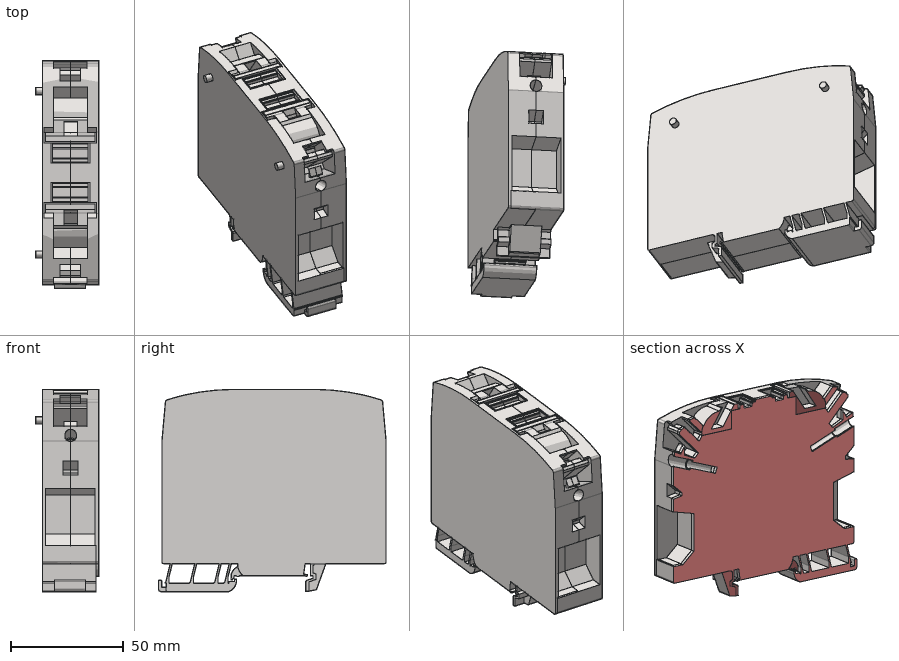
import cadquery as cq
import math


total_height = 89.65
width = 25.0
seam_x = width / 2
half_length = 49.7
body_bottom = 12.4
above_top = total_height + 1

flat_top_half = 18.0
shoulder_half = 48.1
shoulder_z = 84.8
taper_start_z = 66.7
shoulder_radius = 1.2
bottom_radius = 0.9

base_width = 23.75
base_top = 20.4
end_plate_thickness = 1.0

block_bottom = 7.05
block_lip_y = 14.8
block_front_y = -13.65
block_front_top_y = -16.14

clip_contact = [
    (15.4, 0.2),
    (15.4, 4.3),
    (18.6, 5.5),
    (18.6, 7.8),
    (17.3, 8.35),
    (17.2, 11.4),
    (18.1, body_bottom),
]

clip_x = (5.0, 18.75)

peg_diameter = 3.3
peg_length = 3.0
peg_y = 36.2
peg_z = 75.9

lever_x = (4.85, 20.05)
bar_x = (1.3, 23.3)
bar_pocket_x = (0.7, 23.85)
bar_pocket_y = -13.2
bar_y = -13.9
bar_step_y = -16.25
plate_y = -17.75
bar_ramp_y = -20.0
plate_end_y = -23.35
drum_y = -24.6
drum_mouth_y = -37.9
bar_bottom = 87.0
bar_ledge_z = 89.4
plate_end_z = 89.2
drum_top = 88.0
drum_radius = 9.5
lever_bottom = drum_top - drum_radius
tool_hole_x = (9.6, 15.5)
tool_hole_y = (-16.4, -22.5)
tool_hole_lean = 6.1
tool_hole_depth = 9.0

slot_x = (3.9, 21.05)
slot_inner_x = (4.4, 20.2)
slot_y = (-4.35, -13.2)
slot_groove_y = (-6.1, -11.1)
slot_step = 0.45
slot_rim_depth = 0.4
slot_shelf_depth = 1.0
slot_ledge_depth = 1.4
slot_groove_depth = 2.8

latch_x = (4.95, 19.7)
latch_neck_x = (7.8, 16.85)
latch_ramp_x = (9.45, 15.3)
latch_bar_y = -46.4

screw_z = 69.35
screw_diameter = 5.2
screw_tip_diameter = 4.0
screw_depth = 10.5
screw_tip_depth = 25.0
screw_lead = 1.5
screw_tilt = 20.0

test_x = (9.2, 15.8)
test_depth = 4.5
test_mouth_z = (51.8, 57.9)
test_back_z = (52.5, 53.9)
window_x = (1.3, 23.3)
window_depth = 11.2
window_ledge = 5.2
window_mouth_top = 45.7
window_back_z = (25.5, 42.85)

foot_start_y = -16.55
foot_end_y = -47.8
foot_tip_y = -51.27
foot_floor = 3.85
foot_lip_top = 5.6
foot_sole_y = -20.2
foot_notch_y = -20.1
foot_notch_floor = 4.55
foot_lip_inner_y = -17.6
leg_tops_y = (-18.85, -23.3, -34.15, -45.0)
leg_thickness = 1.05
leg_knee_z = 6.8
leg_back_lean = 1.45
leg_front_lean = 1.9
leg_front_z = 4.5
leg_toe = 0.4
pull_x = (5.3, 19.1)
pull_floor = 2.0
pull_inner_y = -49.7
pull_top = 5.2
pull_radius = 1.3
pull_top_radius = 0.6
pull_root_y = foot_end_y + 1
foot_end_radius = 0.5


def side_prism(points, x_range):
    """Polygon of (Y, Z) points extruded along X."""
    x_start, x_end = x_range
    sketch = cq.Workplane("YZ", origin=(x_start, 0, 0)).polyline(points).close()
    return sketch.extrude(x_end - x_start)


def box(x_range, y_range, z_range):
    """Axis-aligned block between the given limits."""
    y_start, y_end = y_range
    z_start, z_end = z_range
    corners = [(y_start, z_start), (y_end, z_start), (y_end, z_end), (y_start, z_end)]
    return side_prism(corners, x_range)


def round_edge(shape, y, z, radius):
    """Fillet the edge along X that passes nearest to the given Y and Z."""
    return shape.edges(cq.selectors.NearestToPointSelector((seam_x, y, z))).fillet(radius)


def mirrored(shape):
    """Copy of the shape at the +Y end."""
    return shape.mirror("XZ")


def crown_z(y):
    """Height of the crowned top at a given Y beyond the flat middle."""
    run = shoulder_half - flat_top_half
    fall = total_height - shoulder_z
    radius = (run**2 + fall**2) / (2 * fall)
    return total_height - radius + math.sqrt(radius**2 - (abs(y) - flat_top_half) ** 2)


def body_form():
    arc_middle = (flat_top_half + shoulder_half) / 2
    form = (
        cq.Workplane("YZ")
        .moveTo(-half_length, body_bottom)
        .lineTo(half_length, body_bottom)
        .lineTo(half_length, taper_start_z)
        .lineTo(shoulder_half, shoulder_z)
        .threePointArc((arc_middle, crown_z(arc_middle)), (flat_top_half, total_height))
        .lineTo(-flat_top_half, total_height)
        .threePointArc((-arc_middle, crown_z(arc_middle)), (-shoulder_half, shoulder_z))
        .lineTo(-half_length, taper_start_z)
        .close()
        .extrude(width)
    )
    for side in (-1, 1):
        form = round_edge(form, side * half_length, body_bottom, bottom_radius)
        form = round_edge(form, side * shoulder_half, shoulder_z, shoulder_radius)
    return form


def rail_block():
    return (
        cq.Workplane("YZ")
        .moveTo(13.83, body_bottom)
        .lineTo(13.2, 7.85)
        .lineTo(block_lip_y, 7.6)
        .lineTo(block_lip_y, block_bottom)
        .lineTo(14.3, 6.75)
        .lineTo(13.8, block_bottom)
        .lineTo(block_front_y, block_bottom)
        .threePointArc((-15.4, 9.2), (block_front_top_y, body_bottom))
        .close()
        .extrude(width)
    )


def lever_profile():
    """Plate and drum, cut off flat at the height of the drum axis."""
    drum_mid = drum_radius * math.sqrt(0.5)
    return (
        cq.Workplane("YZ", origin=(lever_x[0], 0, 0))
        .moveTo(plate_y, lever_bottom)
        .lineTo(plate_y, bar_ledge_z)
        .lineTo(plate_end_y, plate_end_z)
        .lineTo(drum_y, drum_top)
        .threePointArc(
            (drum_y - drum_mid, lever_bottom + drum_mid),
            (drum_y - drum_radius, lever_bottom),
        )
        .close()
        .extrude(lever_x[1] - lever_x[0])
    )


def lever():
    bar_points = [
        (bar_y, bar_bottom),
        (bar_y, total_height),
        (bar_step_y, total_height),
        (bar_step_y, bar_ledge_z),
        (plate_y, bar_ledge_z),
        (plate_y, bar_bottom),
    ]
    tool_hole = side_prism(
        [
            (tool_hole_y[0], bar_ledge_z),
            (tool_hole_y[0] - tool_hole_lean, bar_ledge_z - tool_hole_depth),
            (tool_hole_y[1] - tool_hole_lean, bar_ledge_z - tool_hole_depth),
            (tool_hole_y[1], bar_ledge_z),
        ],
        tool_hole_x,
    )
    return lever_profile().union(side_prism(bar_points, bar_x)).cut(tool_hole)


def lever_recess():
    """Bar pocket, lever bed and the sloping mouth in front of the drum."""
    bar_pocket = side_prism(
        [
            (bar_pocket_y, above_top),
            (bar_pocket_y, bar_bottom),
            (plate_y, bar_bottom),
            (bar_ramp_y, crown_z(bar_ramp_y)),
            (bar_ramp_y, above_top),
        ],
        bar_pocket_x,
    )
    mouth_drop = crown_z(drum_mouth_y) - lever_bottom
    mouth = side_prism(
        [
            (plate_y, above_top),
            (plate_y, lever_bottom),
            (drum_mouth_y + mouth_drop, lever_bottom),
            (drum_mouth_y, crown_z(drum_mouth_y)),
            (drum_mouth_y, above_top),
        ],
        lever_x,
    )
    return bar_pocket.union(mouth).union(lever_profile())


def inset(y_range, amount):
    """Range that runs toward -Y, shortened at both ends."""
    return (y_range[0] - amount, y_range[1] + amount)


def marker_slot():
    steps = [
        (slot_inner_x, inset(slot_y, slot_step), slot_shelf_depth),
        (slot_inner_x, slot_groove_y, slot_ledge_depth),
        (slot_inner_x, inset(slot_groove_y, slot_step), slot_groove_depth),
    ]
    slot = box(slot_x, slot_y, (total_height - slot_rim_depth, above_top))
    for x_range, y_range, depth in steps:
        slot = slot.union(box(x_range, y_range, (total_height - depth, above_top)))
    return slot


def latch_recess():
    """Two channels that sink inward, one from the end face and one from the top, with a bar between."""
    outside_y = -half_length - 1
    pocket = side_prism(
        [
            (outside_y, 73.6),
            (-48.3, 73.3),
            (-38.0, 68.7),
            (-36.0, 70.7),
            (latch_bar_y, 81.1),
            (latch_bar_y, 82.3),
            (-45.4, 83.2),
            (latch_bar_y, 84.6),
            (latch_bar_y, above_top),
            (outside_y, above_top),
        ],
        latch_x,
    )
    ramp = side_prism([(-45.5, 68.0), (-45.5, 72.5), (-43.5, 75.5), (-43.5, 68.0)], latch_ramp_x)
    neck = side_prism(
        [
            (-40.7, above_top),
            (-40.7, 86.2),
            (-33.5, 79.0),
            (-35.5, 76.2),
            (-43.3, 84.0),
            (latch_bar_y, 83.2),
            (latch_bar_y, above_top),
        ],
        latch_neck_x,
    )
    return pocket.cut(ramp).union(neck)


def screw_hole():
    """Stepped hole that sinks as it runs inward."""
    tilt = math.radians(screw_tilt)
    axis = cq.Vector(0, math.cos(tilt), -math.sin(tilt))
    mouth = cq.Vector(seam_x, -half_length, screw_z)
    start = mouth - axis * screw_lead
    shank = cq.Solid.makeCylinder(screw_diameter / 2, screw_depth + screw_lead, start, axis)
    tip = cq.Solid.makeCylinder(screw_tip_diameter / 2, screw_tip_depth + screw_lead, start, axis)
    return cq.Workplane(obj=shank).union(cq.Workplane(obj=tip))


def test_opening():
    back_y = -half_length + test_depth
    points = [
        (-half_length, test_mouth_z[1]),
        (back_y, test_back_z[1]),
        (back_y, test_back_z[0]),
        (-half_length, test_mouth_z[0]),
    ]
    return side_prism(points, test_x)


def wire_window():
    back_y = -half_length + window_depth
    points = [
        (-half_length, window_mouth_top),
        (back_y, window_back_z[1]),
        (back_y, window_back_z[0]),
        (-half_length + window_ledge, base_top),
        (-half_length, base_top),
    ]
    return side_prism(points, window_x)


def spring_arm():
    """S-shaped arm that hangs from the body behind the rail."""
    points = [
        (16.1, body_bottom),
        (16.1, 7.05),
        (17.2, 7.05),
        (17.2, 5.95),
        (14.5, 5.15),
        (14.0, 4.55),
        (14.0, 0.2),
        *clip_contact,
    ]
    return side_prism(points, (0, base_width))


def foot_leg(top_y):
    back_y = top_y - leg_back_lean
    front_top_y = top_y - leg_thickness
    front_y = front_top_y - leg_front_lean
    points = [
        (top_y, body_bottom),
        (back_y, leg_knee_z),
        (back_y, foot_floor),
        (front_y - leg_toe, foot_floor),
        (front_y, leg_front_z),
        (front_top_y, body_bottom),
    ]
    return side_prism(points, (0, base_width))


def foot():
    sole = (
        cq.Workplane("YZ")
        .moveTo(foot_end_y, 0)
        .lineTo(foot_end_y, foot_floor)
        .lineTo(foot_notch_y, foot_floor)
        .lineTo(foot_notch_y, foot_notch_floor)
        .lineTo(foot_lip_inner_y, foot_notch_floor)
        .lineTo(foot_lip_inner_y, foot_lip_top)
        .lineTo(foot_start_y, foot_lip_top)
        .lineTo(foot_start_y, 4.7)
        .threePointArc((-17.55, 1.95), (foot_sole_y, 0))
        .close()
        .extrude(base_width)
    )
    sole = round_edge(sole, foot_end_y, 0, foot_end_radius)
    for top_y in leg_tops_y:
        sole = sole.union(foot_leg(top_y))
    pull = side_prism(
        [
            (pull_root_y, 0),
            (foot_tip_y, 0),
            (foot_tip_y, pull_top),
            (pull_inner_y, pull_top),
            (pull_inner_y, pull_floor),
            (pull_root_y, pull_floor),
        ],
        pull_x,
    )
    pull = round_edge(pull, foot_tip_y, 0, pull_radius)
    for y in (foot_tip_y, pull_inner_y):
        pull = round_edge(pull, y, pull_top, pull_top_radius)
    return sole.union(pull)


def rail_wedge():
    points = [(23.0, body_bottom), (18.95, 1.25), (18.5, 0.8), *clip_contact]
    return side_prism(points, clip_x)


def rail_hook():
    """Hooked strip that rests against the front curve of the rail block."""
    hook = (
        cq.Workplane("YZ", origin=(clip_x[0], 0, 0))
        .moveTo(-13.0, block_bottom)
        .lineTo(-15.3, block_bottom)
        .lineTo(-15.7, 6.7)
        .lineTo(-16.4, 6.7)
        .lineTo(-16.7, block_bottom)
        .lineTo(-17.65, block_bottom)
        .lineTo(-17.65, 6.3)
        .lineTo(-18.5, 5.25)
        .lineTo(-19.1, 5.25)
        .lineTo(-19.0, 7.8)
        .threePointArc((-18.0, 9.6), (-16.0, 11.3))
        .lineTo(-13.0, 11.3)
        .close()
        .extrude(clip_x[1] - clip_x[0])
    )
    return hook.cut(rail_block())


end_recesses = [marker_slot(), lever_recess(), latch_recess(), screw_hole(), test_opening(), wire_window()]

body = body_form()
for recess in end_recesses:
    body = body.cut(recess).cut(mirrored(recess))
body = body.union(rail_block())

end_plate = box((0, base_width), (-half_length, -half_length + end_plate_thickness), (body_bottom, base_top))
left_half = box((0, seam_x), (-half_length, half_length), (0, above_top))
left_zone = left_half.union(end_plate).union(mirrored(end_plate))

left_shell = body.intersect(left_zone).union(spring_arm()).union(foot())
for y in (-peg_y, peg_y):
    peg = cq.Workplane("YZ", origin=(0, y, peg_z)).circle(peg_diameter / 2).extrude(-peg_length)
    left_shell = left_shell.union(peg)

right_shell = body.cut(left_zone)

front_lever = lever()
back_lever = mirrored(front_lever)
wedge = rail_wedge()
hook = rail_hook()

result = cq.Compound.makeCompound(
    [
        left_shell.val(),
        right_shell.val(),
        front_lever.val(),
        back_lever.val(),
        wedge.val(),
        hook.val(),
    ]
)